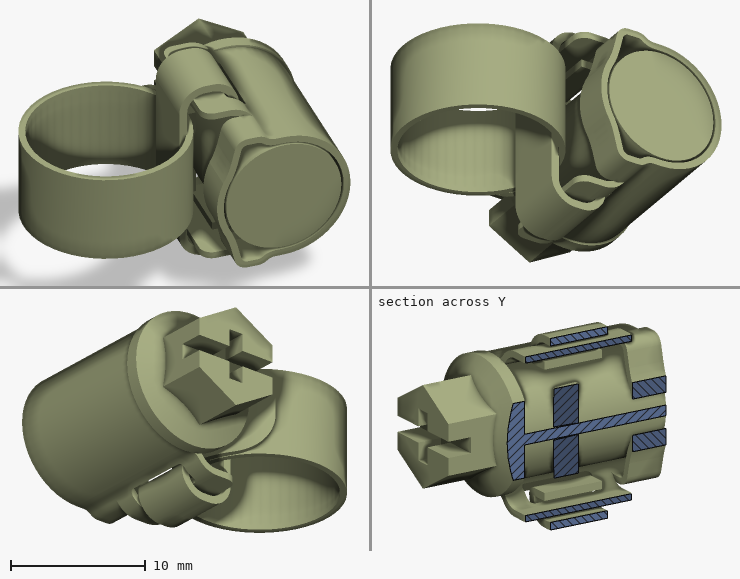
import cadquery as cq
import math


TOTAL_LENGTH = 18.5
TOTAL_DEPTH = 23.2
TOTAL_HEIGHT = 15.1

HEX_FLATS = 7.05
HEX_CORNERS = HEX_FLATS / math.cos(math.radians(30))
FLANGE_R = 5.45
FLANGE_START_X = 5.03
FLANGE_END_X = 6.08
CONE_TILT = 30.0
SHANK_R = 4.55
SLOT_WIDTH = 1.28
SLOT_DEPTH = 2.0
CROSS_LENGTH = 4.08

SHEET = 0.53
HOUSING_R = 5.27
LUG_END_X = 15.5
FLARE_Y = -0.67
FLARE_FILLET = 1.02
LUG_FLAT_Z = 6.5
LUG_FLAT_Y = -3.18
LUG_TIP_Y = -5.25
LUG_CORNER_R = 0.97
LOOP_FLAT_Z = 5.75
LOOP_FLAT_START_Y = -2.05
LOOP_FLAT_END_Y = -2.85
LOOP_CORNER_R = 1.05
LOOP_SIDE_TILT = 14.0
LOOP_SIDE_END_Z = 3.74
LOOP_FLOOR_HALF = 2.2

WINDOW_LENGTH = 6.03
WINDOW_TOP_Y = -1.2
WINDOW_BOTTOM_Y = -2.78
WINDOW_CORNER_R = 0.4

CENTER_X = 10.8
RING_R = 6.5
RING_Y = RING_R + FLANGE_R - TOTAL_DEPTH
BAND_THICK = 0.5
BAND_WIDTH = 7.05
TAIL_GAP = 0.1
TAIL_TIP_ANGLE = 150.0
TAIL_SLIT_ANGLE = 106.0
TAIL_ROOT_ANGLE = 90.0
TAIL_CORNER_R = 3.05

BRIDGE_WIDTH = 5.05
BRIDGE_THICK = 0.63
BRIDGE_TOP_Z = TOTAL_HEIGHT / 2
BRIDGE_BEND_R = 2.09
BRIDGE_FRONT_Y = -6.38
BRIDGE_BACK_Y = -1.67
TONGUE_TIP_Y = -3.78


def polar(radius, degrees):
    """Point at a radius and angle about the origin."""
    angle = math.radians(degrees)
    return radius * math.cos(angle), radius * math.sin(angle)


def centered_box(x0, x1, y0, y1, height):
    """Box between X and Y limits, centred on Z = 0."""
    box = cq.Workplane("XY").box(x1 - x0, y1 - y0, height)
    return box.translate(((x0 + x1) / 2, (y0 + y1) / 2, 0))


def make_screw():
    cone_length = (FLANGE_R - HEX_FLATS / 2) * math.tan(math.radians(CONE_TILT))
    turned = (
        cq.Workplane("XY")
        .moveTo(FLANGE_START_X - cone_length, 0)
        .lineTo(FLANGE_START_X - cone_length, HEX_FLATS / 2)
        .lineTo(FLANGE_START_X, FLANGE_R)
        .lineTo(FLANGE_END_X, FLANGE_R)
        .lineTo(FLANGE_END_X, SHANK_R)
        .lineTo(TOTAL_LENGTH, SHANK_R)
        .lineTo(TOTAL_LENGTH, 0)
        .close()
        .revolve(360, (0, 0, 0), (1, 0, 0))
    )
    head = (
        cq.Workplane("YZ")
        .transformed(rotate=(0, 0, 90))
        .polygon(6, HEX_CORNERS)
        .extrude(FLANGE_START_X)
    )
    recess = (
        cq.Workplane("YZ").rect(HEX_CORNERS, SLOT_WIDTH).extrude(SLOT_DEPTH)
        .union(cq.Workplane("YZ").rect(SLOT_WIDTH, CROSS_LENGTH).extrude(SLOT_DEPTH))
    )
    return turned.union(head).cut(recess)


def flared_side(start_x, flat_y, flat_z):
    """Half outline in the YZ plane: round back, straight wall, then an S-bend out to (flat_y, flat_z)."""
    bend = 2 * math.atan((flat_z - HOUSING_R) / (FLARE_Y - flat_y))
    joint_y = FLARE_Y - FLARE_FILLET * math.sin(bend)
    joint_z = HOUSING_R + FLARE_FILLET * (1 - math.cos(bend))
    return (
        cq.Workplane("YZ", origin=(start_x, 0, 0))
        .moveTo(HOUSING_R, 0)
        .threePointArc(polar(HOUSING_R, 45), (0, HOUSING_R))
        .lineTo(FLARE_Y, HOUSING_R)
        .tangentArcPoint((joint_y, joint_z), relative=False)
        .tangentArcPoint((flat_y, flat_z), relative=False)
    )


def sheet_tube(half_outline, length):
    """Tube with the wall thickness of the sheet, from half of its outer outline."""
    outer = half_outline.mirrorX()
    inner = outer.offset2D(-SHEET)
    section = cq.Face.makeFromWires(outer.val(), [inner.val()])
    return cq.Workplane(cq.Solid.extrudeLinear(section, cq.Vector(length, 0, 0)))


def make_lug_section():
    length = LUG_END_X - FLANGE_END_X
    below_tip = LUG_TIP_Y - 2 * SHEET
    outline = (
        flared_side(FLANGE_END_X, LUG_FLAT_Y, LUG_FLAT_Z)
        .lineTo(below_tip, LUG_FLAT_Z)
        .lineTo(below_tip, 0)
    )
    keep = (
        centered_box(FLANGE_END_X, LUG_END_X, LUG_TIP_Y, HOUSING_R, 2 * LUG_FLAT_Z)
        .edges("|Z and <Y")
        .fillet(LUG_CORNER_R)
    )
    windows = (
        centered_box(
            CENTER_X - WINDOW_LENGTH / 2, CENTER_X + WINDOW_LENGTH / 2,
            WINDOW_BOTTOM_Y, WINDOW_TOP_Y, 2 * LUG_FLAT_Z,
        )
        .edges("|Z")
        .fillet(WINDOW_CORNER_R)
    )
    return sheet_tube(outline, length).intersect(keep).cut(windows)


def make_loop_section():
    tilt = math.radians(LOOP_SIDE_TILT)
    corner_end_y = LOOP_FLAT_END_Y - LOOP_CORNER_R * math.cos(tilt)
    corner_end_z = LOOP_FLAT_Z - LOOP_CORNER_R * (1 - math.sin(tilt))
    side_end_y = corner_end_y - (corner_end_z - LOOP_SIDE_END_Z) * math.tan(tilt)
    floor_angle = math.degrees(math.asin(LOOP_FLOOR_HALF / HOUSING_R))
    outline = (
        flared_side(LUG_END_X, LOOP_FLAT_START_Y, LOOP_FLAT_Z)
        .lineTo(LOOP_FLAT_END_Y, LOOP_FLAT_Z)
        .tangentArcPoint((corner_end_y, corner_end_z), relative=False)
        .lineTo(side_end_y, LOOP_SIDE_END_Z)
        .tangentArcPoint(polar(HOUSING_R, 180 - floor_angle), relative=False)
        .threePointArc(polar(HOUSING_R, 180 - floor_angle / 2), (-HOUSING_R, 0))
    )
    return sheet_tube(outline, TOTAL_LENGTH - LUG_END_X)


def make_housing():
    return make_lug_section().union(make_loop_section())


def ring_sector(inner_r, outer_r, start, end):
    """Part of a ring about the Z axis, as wide as the band."""
    middle = (start + end) / 2
    return (
        cq.Workplane("XY", origin=(0, 0, -BAND_WIDTH / 2))
        .moveTo(*polar(inner_r, start))
        .lineTo(*polar(outer_r, start))
        .threePointArc(polar(outer_r, middle), polar(outer_r, end))
        .lineTo(*polar(inner_r, end))
        .threePointArc(polar(inner_r, middle), polar(inner_r, start))
        .close()
        .extrude(BAND_WIDTH)
    )


def make_tail():
    """Free band end that overlaps the ring, with rounded corners at its tip."""
    inner_r = RING_R + TAIL_GAP
    outer_r = inner_r + BAND_THICK
    root = ring_sector(RING_R - BAND_THICK / 2, outer_r, TAIL_ROOT_ANGLE, TAIL_SLIT_ANGLE)
    strip = ring_sector(inner_r, outer_r, TAIL_SLIT_ANGLE, TAIL_TIP_ANGLE)
    radial = polar(1, TAIL_TIP_ANGLE)
    back_along_strip = polar(1, TAIL_TIP_ANGLE - 90)
    outline = cq.Sketch().rect(2 * RING_R, BAND_WIDTH).vertices().fillet(TAIL_CORNER_R)
    rounded_end = (
        cq.Workplane(cq.Plane(origin=(0, 0, 0), xDir=(*back_along_strip, 0), normal=(*radial, 0)))
        .center(RING_R, 0)
        .placeSketch(outline)
        .extrude(2 * RING_R)
    )
    return root.union(strip.intersect(rounded_end))


def make_band():
    ring = (
        cq.Workplane("XY", origin=(0, 0, -BAND_WIDTH / 2))
        .circle(RING_R)
        .circle(RING_R - BAND_THICK)
        .extrude(BAND_WIDTH)
    )
    return ring.union(make_tail()).translate((CENTER_X, RING_Y, 0))


def make_bridge():
    inner_r = BRIDGE_BEND_R - BRIDGE_THICK
    bend_z = BRIDGE_TOP_Z - BRIDGE_BEND_R
    front_bend_y = BRIDGE_FRONT_Y + BRIDGE_BEND_R
    back_bend_y = BRIDGE_BACK_Y - BRIDGE_BEND_R
    inner_front_y = BRIDGE_FRONT_Y + BRIDGE_THICK
    inner_back_y = BRIDGE_BACK_Y - BRIDGE_THICK
    half = (
        cq.Workplane("YZ", origin=(CENTER_X - BRIDGE_WIDTH / 2, 0, 0))
        .moveTo(BRIDGE_FRONT_Y, 0)
        .lineTo(BRIDGE_FRONT_Y, bend_z)
        .radiusArc((front_bend_y, BRIDGE_TOP_Z), BRIDGE_BEND_R)
        .lineTo(back_bend_y, BRIDGE_TOP_Z)
        .radiusArc((BRIDGE_BACK_Y, bend_z), BRIDGE_BEND_R)
        .radiusArc((inner_back_y, bend_z - BRIDGE_THICK), BRIDGE_THICK)
        .lineTo(TONGUE_TIP_Y, bend_z - BRIDGE_THICK)
        .lineTo(TONGUE_TIP_Y, bend_z)
        .lineTo(inner_back_y, bend_z)
        .radiusArc((back_bend_y, bend_z + inner_r), -inner_r)
        .lineTo(front_bend_y, bend_z + inner_r)
        .radiusArc((inner_front_y, bend_z), -inner_r)
        .lineTo(inner_front_y, 0)
        .close()
        .extrude(BRIDGE_WIDTH)
    )
    return half.union(half.mirror("XY"))


screw = make_screw()
housing = make_housing()
bridge = make_bridge()
band = make_band().cut(bridge).cut(screw)

bodies = [screw, housing, band, bridge]

result = cq.Compound.makeCompound([body.solids().val() for body in bodies])